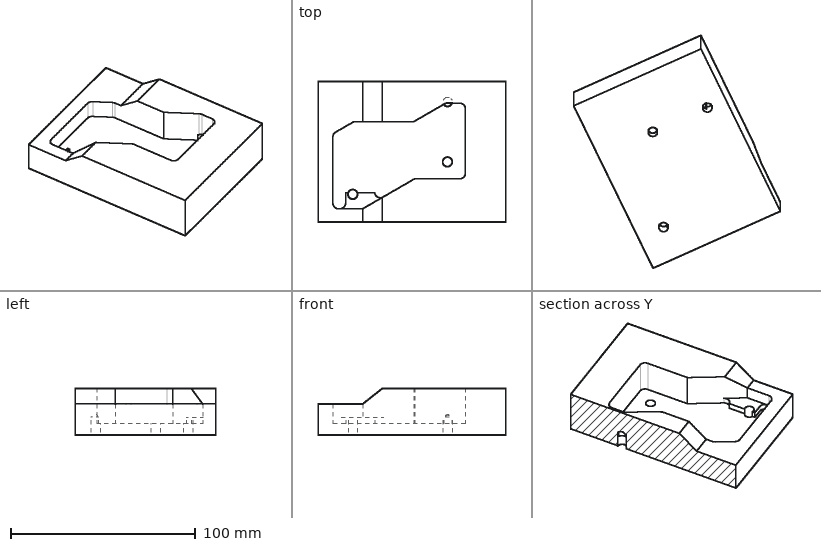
import cadquery as cq
import math

length = 101.6
width = 76.2
height = 25.4
low_height = 17.0
ramp_start = 24.1
ramp_end = 34.7

floor_z = 6.4
corner_radius = 3.0
pocket_left = 7.9
pocket_right = 79.8
pocket_front = 7.2
pocket_back = 64.4
left_bay_back = 54.5
right_bay_front = 23.5
back_neck_x = 51.8
left_bevel_y = 47.9
wall_slope = math.tan(math.radians(30))

pad_left = 14.8
pad_right = 30.6
pad_back = 16.0
pad_top = 9.8

hole_diameter = 5.1
hole_shoulder_z = 10.0
drill_point_angle = 118
right_hole_x = 70.0
hole_centers = [(18.7, 15.0), (right_hole_x, 32.6), (right_hole_x, 65.2)]


def make_block():
    profile = [
        (0, 0),
        (length, 0),
        (length, height),
        (ramp_end, height),
        (ramp_start, low_height),
        (0, low_height),
    ]
    return cq.Workplane("XZ").polyline(profile).close().extrude(-width)


def make_pocket():
    """Pocket volume; corners pointing into the block are rounded, the two neck edges are sharp."""
    rounded_corners = [
        (pocket_left, pocket_front),
        (pocket_right, right_bay_front),
        (pocket_right, pocket_back),
        (back_neck_x + (pocket_back - left_bay_back) / wall_slope, pocket_back),
        (pocket_left + (left_bay_back - left_bevel_y) / wall_slope, left_bay_back),
        (pocket_left, left_bevel_y),
    ]
    front_neck_x = ramp_start + (right_bay_front - pocket_front) / wall_slope
    outline = [
        rounded_corners[0],
        (ramp_start, pocket_front),
        (front_neck_x, right_bay_front),
        *rounded_corners[1:4],
        (back_neck_x, left_bay_back),
        *rounded_corners[4:],
    ]
    depth = height - floor_z
    pocket = cq.Workplane("XY").workplane(offset=floor_z).polyline(outline).close().extrude(depth)
    middle_z = floor_z + depth / 2
    for x, y in rounded_corners:
        edge = cq.selectors.NearestToPointSelector((x, y, middle_z))
        pocket = pocket.edges("|Z").edges(edge).fillet(corner_radius)
    return pocket


def box_between(x_min, x_max, y_min, y_max):
    """Box of the pad's height, standing on the pocket floor."""
    size = (x_max - x_min, y_max - y_min, pad_top - floor_z)
    return cq.Workplane("XY").box(*size, centered=False).translate((x_min, y_min, floor_z))


def corner_cutter(x, y):
    return cq.Workplane("XY").center(x, y).circle(corner_radius).extrude(height)


def make_pad(pocket):
    """Pad whose ends blend into the pocket walls with concave corners."""
    left_x = pad_left - corner_radius
    left_y = pocket_front + corner_radius
    left_blend = box_between(left_x, pad_left, pocket_front, left_y).cut(corner_cutter(left_x, left_y))

    right_x = pad_right + corner_radius
    wall_y = pocket_front + (right_x - ramp_start) * wall_slope
    right_y = wall_y + corner_radius / math.cos(math.radians(30))
    tangent_x = right_x + corner_radius * math.sin(math.radians(30))
    pad = box_between(pad_left, tangent_x, pocket_front, pad_back).cut(corner_cutter(right_x, right_y))
    return pad.union(left_blend).intersect(pocket)


def make_holes():
    """Holes drilled up from the bottom face, each ending in a conical drill point."""
    radius = hole_diameter / 2
    tip_z = hole_shoulder_z + radius / math.tan(math.radians(drill_point_angle / 2))
    half_section = [(0, 0), (radius, 0), (radius, hole_shoulder_z), (0, tip_z)]
    drill = cq.Workplane("XZ").polyline(half_section).close().revolve(360, (0, 0), (0, 1))
    holes = cq.Workplane("XY")
    for x, y in hole_centers:
        holes = holes.add(drill.translate((x, y, 0)))
    return holes.combine()


full_pocket = make_pocket()
pocket_volume = full_pocket.cut(make_pad(full_pocket))
result = make_block().cut(pocket_volume).cut(make_holes())